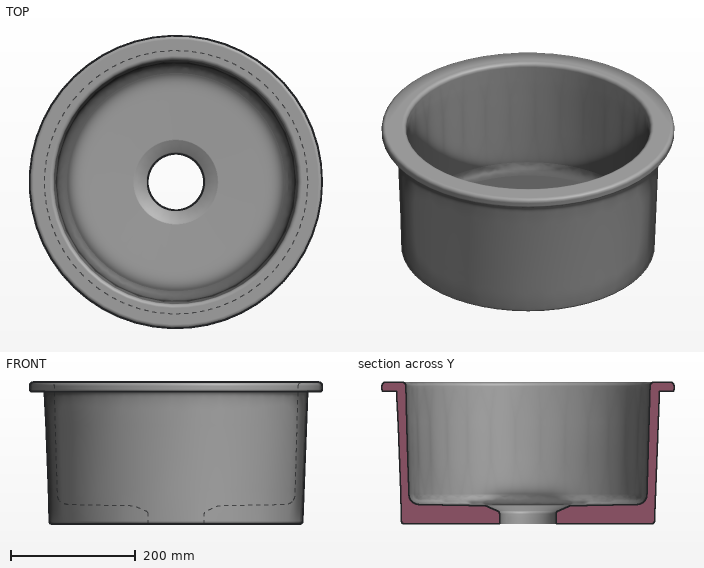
import cadquery as cq

rim_radius = 235.0
height = 228.0

rim_thickness = 15.5
rim_top_round = 6.0
rim_bottom_round = 3.8
mouth_round = 6.5

neck_radius = 211.5
neck_height = 3.0
base_radius = 203.5
base_round = 4.5
cavity_top_radius = 196.0
cavity_base_radius = 190.5
cavity_round = 16.0

floor_thickness = 32.0
floor_fall = 2.5

seat_radius = 67.5
seat_depth = 10.0
seat_edge_round = 2.5
drain_radius = 90.2 / 2
drain_round = 4.5

rim_underside = height - rim_thickness
seat_top_z = floor_thickness - floor_fall
seat_bottom_z = seat_top_z - seat_depth


def revolve_profile(points):
    """Turn a closed (radius, z) outline about the vertical axis."""
    return cq.Workplane("XZ").polyline(points).close().revolve(360, (0, 0), (0, 1))


def round_circle(body, radius, z, size):
    """Round the circular edge that has the given radius and height."""
    edge_tolerance = 0.05
    edge_band = cq.selectors.BoxSelector(
        (-radius - edge_tolerance, -radius - edge_tolerance, z - edge_tolerance),
        (radius + edge_tolerance, radius + edge_tolerance, z + edge_tolerance),
        boundingbox=True,
    )
    circle = body.edges(edge_band).edges(cq.selectors.RadiusNthSelector(-1))
    return circle.fillet(size)


body = revolve_profile([
    (0, 0),
    (base_radius, 0),
    (neck_radius, rim_underside - neck_height),
    (neck_radius, rim_underside),
    (rim_radius, rim_underside),
    (rim_radius, height),
    (0, height),
])

cavity = revolve_profile([
    (0, 0),
    (drain_radius, 0),
    (drain_radius, seat_bottom_z),
    (seat_radius, seat_top_z),
    (cavity_base_radius, floor_thickness),
    (cavity_top_radius, height),
    (0, height),
])
body = body.cut(cavity)

for edge_radius, edge_z, round_size in [
    (base_radius, 0, base_round),
    (rim_radius, rim_underside, rim_bottom_round),
    (rim_radius, height, rim_top_round),
    (cavity_top_radius, height, mouth_round),
    (cavity_base_radius, floor_thickness, cavity_round),
    (seat_radius, seat_top_z, seat_edge_round),
    (drain_radius, seat_bottom_z, drain_round),
]:
    body = round_circle(body, edge_radius, edge_z, round_size)

result = body